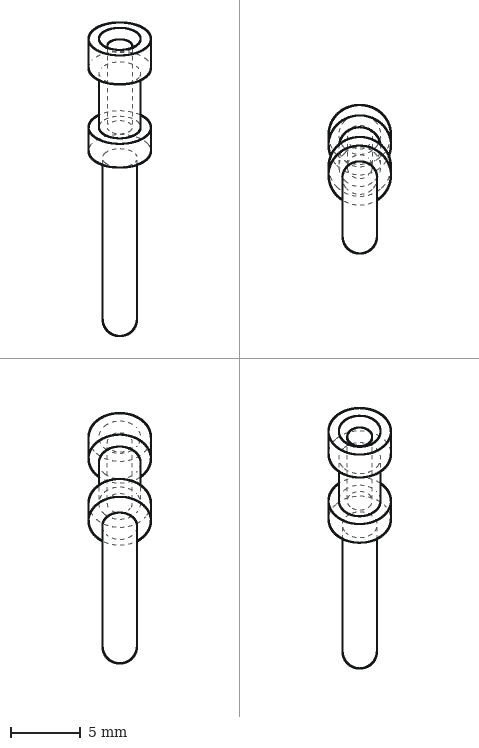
import cadquery as cq
import math

total_length = 25.0
collar_diameter = 4.5
neck_diameter = 3.0
pin_diameter = 2.5

head_length = 2.9
collar_top = 17.5
collar_length = 2.6
underside_angle = 30.0

socket_diameter = 1.8
socket_mouth_diameter = 3.0
socket_mouth_depth = 0.6
socket_depth = 7.5

collar_radius = collar_diameter / 2
neck_radius = neck_diameter / 2
pin_radius = pin_diameter / 2


def cone_height(small_radius):
    """Height of a conical underside from the collar radius to a smaller one."""
    return (collar_radius - small_radius) * math.tan(math.radians(underside_angle))


def make_body():
    """Revolve the outer profile: domed pin, collar, neck and head."""
    collar_bottom = collar_top - collar_length
    head_bottom = total_length - head_length
    dome_mid = pin_radius * math.sin(math.radians(45))
    profile = (
        cq.Workplane("XZ")
        .moveTo(0, 0)
        .threePointArc((dome_mid, pin_radius - dome_mid), (pin_radius, pin_radius))
        .lineTo(pin_radius, collar_bottom)
        .lineTo(collar_radius, collar_bottom + cone_height(pin_radius))
        .lineTo(collar_radius, collar_top)
        .lineTo(neck_radius, collar_top)
        .lineTo(neck_radius, head_bottom)
        .lineTo(collar_radius, head_bottom + cone_height(neck_radius))
        .lineTo(collar_radius, total_length)
        .lineTo(0, total_length)
        .close()
    )
    return profile.revolve(360, (0, 0), (0, 1))


def make_socket():
    """Revolve the flat-bottomed blind bore with its countersunk mouth."""
    bore_radius = socket_diameter / 2
    socket_bottom = total_length - socket_depth
    profile = (
        cq.Workplane("XZ")
        .moveTo(0, socket_bottom)
        .lineTo(bore_radius, socket_bottom)
        .lineTo(bore_radius, total_length - socket_mouth_depth)
        .lineTo(socket_mouth_diameter / 2, total_length)
        .lineTo(0, total_length)
        .close()
    )
    return profile.revolve(360, (0, 0), (0, 1))


result = make_body().cut(make_socket())